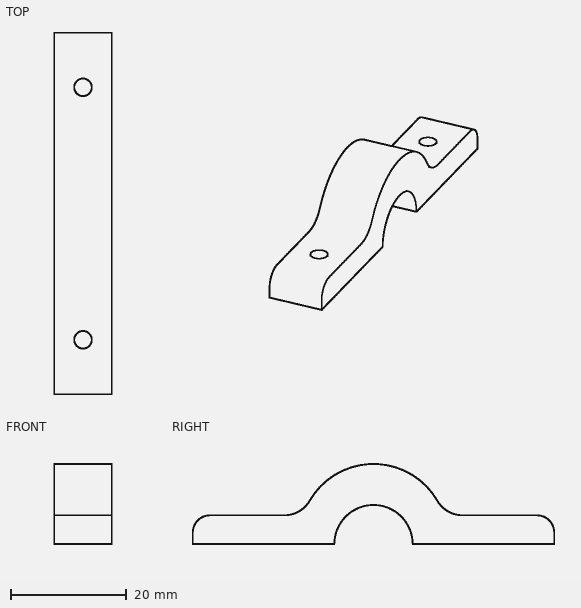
import cadquery as cq
import math

width = 10.0
length = 62.5
height = 13.9
flange_thickness = 5.0
end_radius = 3.0
crown_radius = 12.75
blend_radius = 5.0
bore_radius = 6.75
hole_diameter = 3.0
hole_spacing = 43.65

crown_center_z = height - crown_radius
blend_center_z = flange_thickness + blend_radius
center_distance = crown_radius + blend_radius
center_rise = blend_center_z - crown_center_z
blend_center_y = math.sqrt(center_distance**2 - center_rise**2)
joint_y = blend_center_y * crown_radius / center_distance
joint_z = crown_center_z + center_rise * crown_radius / center_distance

blend_mid_angle = math.atan2(blend_center_y, center_rise) / 2
blend_mid_y = blend_center_y - blend_radius * math.sin(blend_mid_angle)
blend_mid_z = blend_center_z - blend_radius * math.cos(blend_mid_angle)


def make_strap():
    """Extrude the side profile across the width, centred on X."""
    half_length = length / 2
    profile = (
        cq.Workplane("YZ")
        .moveTo(-half_length, 0)
        .lineTo(-half_length, flange_thickness)
        .lineTo(-blend_center_y, flange_thickness)
        .threePointArc((-blend_mid_y, blend_mid_z), (-joint_y, joint_z))
        .threePointArc((0, height), (joint_y, joint_z))
        .threePointArc((blend_mid_y, blend_mid_z), (blend_center_y, flange_thickness))
        .lineTo(half_length, flange_thickness)
        .lineTo(half_length, 0)
        .lineTo(bore_radius, 0)
        .threePointArc((0, bore_radius), (-bore_radius, 0))
        .close()
    )
    return profile.extrude(width / 2, both=True)


def round_ends(strap):
    """Round the upper outer edge of each flange."""
    end_edges = strap.faces("<Y or >Y").edges(">Z")
    return strap.newObject(end_edges.vals()).fillet(end_radius)


def screw_holes():
    """Vertical through holes, one in each flange."""
    return (
        cq.Workplane("XY")
        .pushPoints([(0, side * hole_spacing / 2) for side in (-1, 1)])
        .circle(hole_diameter / 2)
        .extrude(flange_thickness)
    )


result = round_ends(make_strap()).cut(screw_holes())